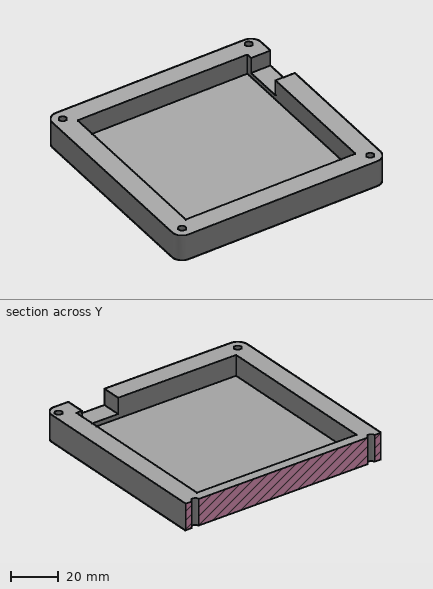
import cadquery as cq

length_x = 101.8
length_y = 104.1
height = 13.0
corner_radius = 5.0

side_wall = 9.4
end_wall = 9.7
pocket_depth = 10.0

notch_offset = 12.3
notch_width = 18.7
notch_depth = 7.8

hole_diameter = 3.4
hole_inset = 5.1
back_left_hole_inset = 3.4

right_x = length_x / 2
back_y = length_y / 2


def make_block():
    """Solid block with rounded vertical corners."""
    block = cq.Workplane("XY").box(length_x, length_y, height, centered=(True, True, False))
    return block.edges("|Z").fillet(corner_radius)


def make_pocket():
    """Rectangular recess with sharp corners, open at the top."""
    return (
        cq.Workplane("XY")
        .workplane(offset=height - pocket_depth)
        .rect(length_x - 2 * side_wall, length_y - 2 * end_wall)
        .extrude(pocket_depth)
    )


def make_notch():
    """Open-topped channel from the pocket out through the +Y wall."""
    return (
        cq.Workplane("XY")
        .box(notch_width, end_wall, notch_depth, centered=False)
        .translate((notch_offset - right_x, back_y - end_wall, height - notch_depth))
    )


def make_corner_holes():
    """Four vertical cylinders; the back left one sits closer to the -X side."""
    hole_x = right_x - hole_inset
    hole_y = back_y - hole_inset
    centres = [
        (hole_x, hole_y),
        (hole_x, -hole_y),
        (-hole_x, -hole_y),
        (back_left_hole_inset - right_x, hole_y),
    ]
    return cq.Workplane("XY").pushPoints(centres).circle(hole_diameter / 2).extrude(height)


result = make_block().cut(make_pocket()).cut(make_notch()).cut(make_corner_holes())